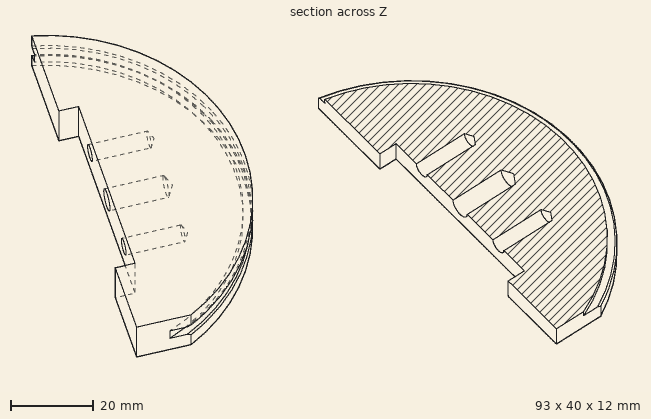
import cadquery as cq
import math

length = 93.0
height = 40.0
thickness = 12.0
disc_radius = 50.0

base_y = disc_radius - height
left_x = -math.sqrt(disc_radius**2 - base_y**2)
right_x = left_x + length
right_corner_y = math.sqrt(disc_radius**2 - right_x**2)

notch_width = 50.0
notch_depth = 5.0
notch_floor_y = base_y + notch_depth

groove_width = 3.0
groove_depth = 2.3
lip_chamfer = 0.5

hole_spacing = 15.0
center_hole_diameter = 5.5
side_hole_diameter = 4.2
hole_depth = 15.0
drill_tip_angle = 118.0


def make_body():
    """Disc segment trimmed flat at the base and on the right."""
    return (
        cq.Workplane("XY")
        .workplane(offset=-thickness / 2)
        .moveTo(left_x, base_y)
        .threePointArc((0, disc_radius), (right_x, right_corner_y))
        .lineTo(right_x, base_y)
        .close()
        .extrude(thickness)
    )


def make_notch():
    return (
        cq.Workplane("XY")
        .center(0, base_y)
        .rect(notch_width, 2 * notch_depth)
        .extrude(thickness, both=True)
    )


def make_rim_groove():
    """Ring with the groove's section, revolved about the disc axis."""
    floor_radius = disc_radius - groove_depth
    chamfer_radius = disc_radius - lip_chamfer
    outer_radius = disc_radius + lip_chamfer
    half_width = groove_width / 2
    half_mouth = half_width + 2 * lip_chamfer
    return (
        cq.Workplane("XZ")
        .moveTo(floor_radius, -half_width)
        .lineTo(chamfer_radius, -half_width)
        .lineTo(outer_radius, -half_mouth)
        .lineTo(outer_radius, half_mouth)
        .lineTo(chamfer_radius, half_width)
        .lineTo(floor_radius, half_width)
        .close()
        .revolve(360, (0, 0, 0), (0, 1, 0))
    )


def make_drilled_hole(x, diameter):
    """Blind hole along +Y from the notch floor, ending in a drill cone."""
    radius = diameter / 2
    tip_length = radius / math.tan(math.radians(drill_tip_angle / 2))
    end_y = notch_floor_y + hole_depth
    return (
        cq.Workplane("XY")
        .moveTo(x, notch_floor_y)
        .lineTo(x + radius, notch_floor_y)
        .lineTo(x + radius, end_y)
        .lineTo(x, end_y + tip_length)
        .close()
        .revolve(360, (x, notch_floor_y, 0), (x, end_y, 0))
    )


result = make_body().cut(make_notch()).cut(make_rim_groove())
for hole_x, hole_diameter in (
    (-hole_spacing, side_hole_diameter),
    (0, center_hole_diameter),
    (hole_spacing, side_hole_diameter),
):
    result = result.cut(make_drilled_hole(hole_x, hole_diameter))